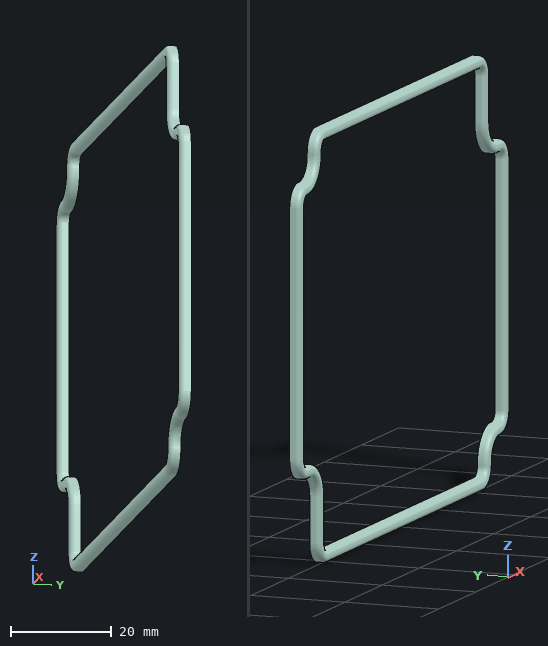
import cadquery as cq

length = 112.9
height = 88.0
depth = 2.4

cord_width = 2.6
front_round = 1.07

corner_radius = 3.2
notch_radius = 5.9

top_left_notch = (-51.6, 39.0)
top_right_notch = (50.2, 29.9)

side_x = (length - cord_width) / 2
top_z = (height - cord_width) / 2
side_bend_x = side_x - corner_radius
top_bend_z = top_z - corner_radius

left_post_x = top_left_notch[0] + notch_radius
left_step_z = top_left_notch[1] - notch_radius
right_post_x = top_right_notch[0] - notch_radius
right_step_z = top_right_notch[1] - notch_radius


def half_path(path, turn):
    """Add the upper half of the loop, left to right; turn = -1 adds its half-turn copy."""

    def line(x, z):
        return path.lineTo(turn * x, turn * z)

    def bend(x, z, radius):
        return path.radiusArc((turn * x, turn * z), radius)

    path = line(-side_x, left_step_z - corner_radius)
    path = bend(-side_bend_x, left_step_z, corner_radius)
    path = line(top_left_notch[0], left_step_z)
    path = bend(left_post_x, top_left_notch[1], -notch_radius)
    path = line(left_post_x, top_bend_z)
    path = bend(left_post_x + corner_radius, top_z, corner_radius)

    path = line(right_post_x - corner_radius, top_z)
    path = bend(right_post_x, top_bend_z, corner_radius)
    path = line(right_post_x, top_right_notch[1])
    path = bend(top_right_notch[0], right_step_z, -notch_radius)
    path = line(side_bend_x, right_step_z)
    return bend(side_x, right_step_z - corner_radius, corner_radius)


def centreline():
    """Closed centreline of the cord in the XZ plane."""
    path = cq.Workplane("XZ").moveTo(-side_x, corner_radius - right_step_z)
    path = half_path(path, 1)
    path = half_path(path, -1)
    return path.close()


def plate(offset):
    """Solid plate bounded by the centreline moved outward by offset."""
    return centreline().offset2D(offset).extrude(depth)


band = plate(cord_width / 2).cut(plate(-cord_width / 2))
result = band.faces("<Y").edges().fillet(front_round)